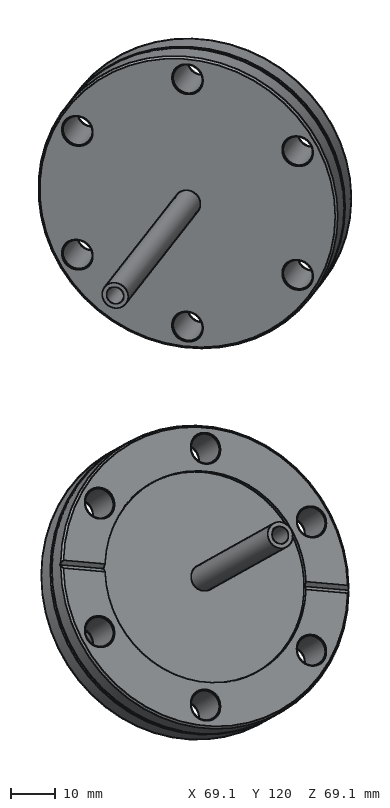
import cadquery as cq

tube_length = 120.0
tube_diameter = 6.0
tube_bore_diameter = 4.0

flange_diameter = 69.1
flange_thickness = 12.7
rear_tube_length = 45.0
rim_chamfer = 0.5

bolt_count = 6
bolt_hole_diameter = 6.7
bolt_hole_chamfer = 0.2
bolt_circle_diameter = 58.7

rim_groove_width = 1.0
rim_groove_depth = 0.3

recess_diameter = 48.2
recess_depth = 1.2
leak_groove_width = 1.8
leak_groove_depth = leak_groove_width / 2

flange_radius = flange_diameter / 2
rear_face_y = tube_length / 2 - rear_tube_length
front_face_y = rear_face_y - flange_thickness


def cylinder_along_y(diameter, start_y, length):
    """Solid cylinder on the Y axis, running from start_y toward +Y."""
    plane = cq.Workplane("XZ", origin=(0, start_y, 0))
    return plane.circle(diameter / 2).extrude(-length)


def make_tube():
    """Straight tube, open at both ends."""
    start_y = -tube_length / 2
    bore = cylinder_along_y(tube_bore_diameter, start_y, tube_length)
    return cylinder_along_y(tube_diameter, start_y, tube_length).cut(bore)


def bolt_holes():
    """List of cutters for the bolt holes, flared at both ends for the edge chamfers."""
    hole_radius = bolt_hole_diameter / 2
    mouth_radius = hole_radius + bolt_hole_chamfer
    half_profile = [
        (0, front_face_y),
        (mouth_radius, front_face_y),
        (hole_radius, front_face_y + bolt_hole_chamfer),
        (hole_radius, rear_face_y - bolt_hole_chamfer),
        (mouth_radius, rear_face_y),
        (0, rear_face_y),
    ]
    cutter = cq.Workplane("XY").polyline(half_profile).close().revolve(360, (0, 0, 0), (0, 1, 0))
    cutter = cutter.translate((0, 0, bolt_circle_diameter / 2))
    cutters = []
    for index in range(bolt_count):
        angle = 360 / bolt_count * index
        cutters.append(cutter.rotate((0, 0, 0), (0, 1, 0), angle))
    return cutters


def rim_groove():
    """Ring with an arc-shaped section, pointing inward at mid-thickness."""
    middle_y = front_face_y + flange_thickness / 2
    front_edge = (flange_radius, middle_y - rim_groove_width / 2)
    bottom = (flange_radius - rim_groove_depth, middle_y)
    rear_edge = (flange_radius, middle_y + rim_groove_width / 2)
    section = cq.Workplane("XY").moveTo(*front_edge).threePointArc(bottom, rear_edge).close()
    return section.revolve(360, (0, 0, 0), (0, 1, 0))


def leak_grooves():
    """One V-shaped bar across the rear face, making a groove on the -X and +X sides of the recess."""
    section = [
        (rear_face_y, -leak_groove_width / 2),
        (rear_face_y - leak_groove_depth, 0),
        (rear_face_y, leak_groove_width / 2),
    ]
    return cq.Workplane("YZ").polyline(section).close().extrude(flange_radius, both=True)


def make_flange():
    """Flange with its bolt holes, rim groove, sealing recess and hole for the tube."""
    flange = cylinder_along_y(flange_diameter, front_face_y, flange_thickness)
    flange = flange.edges("%CIRCLE").chamfer(rim_chamfer)
    flange = flange.cut(rim_groove())
    flange = flange.cut(cylinder_along_y(recess_diameter, rear_face_y - recess_depth, recess_depth))
    flange = flange.cut(leak_grooves())
    for hole in bolt_holes():
        flange = flange.cut(hole)
    tube_hole = cylinder_along_y(tube_diameter, front_face_y, flange_thickness)
    return flange.cut(tube_hole)


tube = make_tube()
flange = make_flange()

result = cq.Compound.makeCompound([tube.val(), flange.val()])